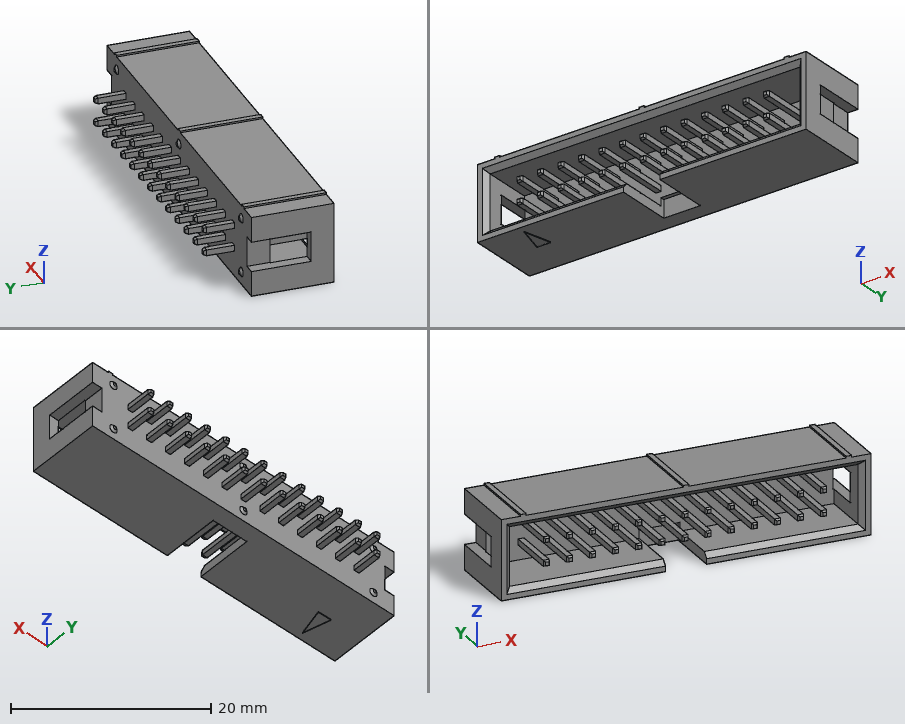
import cadquery as cq


LENGTH = 40.65
DEPTH = 8.8
HEIGHT = 8.8
BASE_THICKNESS = 2.48
WALL = 1.18
LEAD_IN = 0.55

KEY_WIDTH = 4.5
KEY_HEIGHT = 2.1
KEY_RECESS = 0.5

END_SLOT_HEIGHT = 3.3
END_SLOT_SETBACK = 2.45
END_SLOT_RECESS = 1.25

PIN_COLUMNS = 13
PITCH = 2.54
PIN_SIZE = 0.65
PIN_TAIL = 3.3
TIP_LENGTH = 0.305
TIP_SIZE = 0.4

RIB_SPACING = 17.9
RIB_WIDTH = 0.6
RIB_RISE = 0.183
STANDOFF_SPACING_X = 17.5
STANDOFF_Z = 3.0
STANDOFF_DIAMETER = 0.98
STANDOFF_TIP_DIAMETER = 0.45
STANDOFF_RISE = 0.25
MARK_WIDTH = 1.7
MARK_X = -15.15
MARK_LENGTH = 3.35
MARK_SETBACK = 0.85
MARK_RISE = 0.1

BACK = DEPTH
BASE_FRONT = DEPTH - BASE_THICKNESS
TOP = HEIGHT / 2
BOTTOM = -HEIGHT / 2


def block(x_range, y_range, z_range):
    """Box between the given limits."""
    size = [high - low for low, high in (x_range, y_range, z_range)]
    corner = (x_range[0], y_range[0], z_range[0])
    return cq.Workplane("XY").box(*size, centered=False).translate(corner)


def taper(y_start, y_end, start_size, end_size):
    """Rectangular frustum along Y, centred on the Y axis."""
    return (
        cq.Workplane("XZ", origin=(0, y_start, 0))
        .rect(*start_size)
        .workplane(offset=y_start - y_end)
        .rect(*end_size)
        .loft(ruled=True)
    )


def make_housing():
    half_length = LENGTH / 2
    shell = block((-half_length, half_length), (0, BACK), (BOTTOM, TOP))
    inner_length = LENGTH - 2 * WALL
    inner_height = HEIGHT - 2 * WALL
    cavity = block(
        (-inner_length / 2, inner_length / 2), (0, BASE_FRONT), (-inner_height / 2, inner_height / 2)
    )
    mouth_size = (inner_length + 2 * LEAD_IN, inner_height + 2 * LEAD_IN)
    mouth = taper(0, LEAD_IN, mouth_size, (inner_length, inner_height))
    keyway = block(
        (-KEY_WIDTH / 2, KEY_WIDTH / 2), (0, BASE_FRONT + KEY_RECESS), (BOTTOM, BOTTOM + KEY_HEIGHT)
    )
    shell = shell.cut(cavity).cut(mouth).cut(keyway)
    slot_z = (-END_SLOT_HEIGHT / 2, END_SLOT_HEIGHT / 2)
    slot = block((-half_length, -half_length + END_SLOT_RECESS), (END_SLOT_SETBACK, BACK), slot_z)
    return shell.cut(slot).cut(slot.mirror("YZ"))


def make_pin():
    """Square pin along Y with both tips tapered."""
    full = (PIN_SIZE, PIN_SIZE)
    tip = (TIP_SIZE, TIP_SIZE)
    half = PIN_SIZE / 2
    rear = BACK + PIN_TAIL
    shank = block((-half, half), (TIP_LENGTH, rear - TIP_LENGTH), (-half, half))
    front_tip = taper(TIP_LENGTH, 0, full, tip)
    rear_tip = taper(rear - TIP_LENGTH, rear, full, tip)
    return shank.union(front_tip).union(rear_tip)


def make_rib(x):
    return block((x - RIB_WIDTH / 2, x + RIB_WIDTH / 2), (0, BACK), (TOP, TOP + RIB_RISE))


def make_standoff(x, z):
    cone = cq.Solid.makeCone(
        STANDOFF_DIAMETER / 2,
        STANDOFF_TIP_DIAMETER / 2,
        STANDOFF_RISE,
        pnt=cq.Vector(x, BACK, z),
        dir=cq.Vector(0, 1, 0),
    )
    return cq.Workplane(obj=cone)


def make_pin_one_mark():
    """Raised triangle near the first column, pointing to the mating side."""
    wide_end = MARK_SETBACK + MARK_LENGTH
    left = MARK_X - MARK_WIDTH / 2
    right = MARK_X + MARK_WIDTH / 2
    corners = [(MARK_X, MARK_SETBACK), (right, wide_end), (left, wide_end)]
    return cq.Workplane("XY", origin=(0, 0, BOTTOM)).polyline(corners).close().extrude(-MARK_RISE)


result = make_housing().union(make_pin_one_mark())
for side in (-1, 0, 1):
    result = result.union(make_rib(side * RIB_SPACING))
    for z in (-STANDOFF_Z, STANDOFF_Z):
        result = result.union(make_standoff(side * STANDOFF_SPACING_X, z))

pin = make_pin()
for column in range(PIN_COLUMNS):
    x = (column - (PIN_COLUMNS - 1) / 2) * PITCH
    for z in (-PITCH / 2, PITCH / 2):
        result = result.union(pin.translate((x, 0, z)))